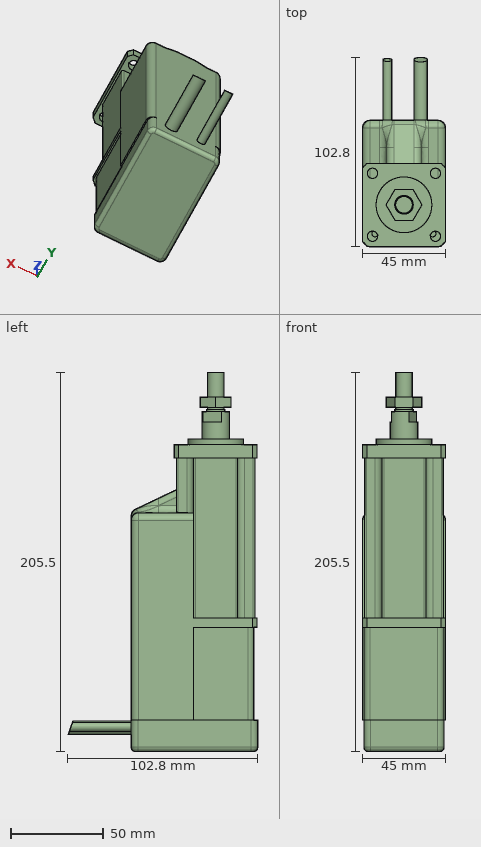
import cadquery as cq
import math


BASE_TOP = 17.0
PLATE_BOTTOM = 67.5
PLATE_TOP = 72.5
SHOULDER_TOP = 129.5
FLANGE_BOTTOM = 159.0
FLANGE_TOP = 166.5
PILOT_TOP = 169.5
ROD_SHOULDER = 184.3
COLLAR_TOP = 185.4
NUT_BOTTOM = 186.5
NUT_THICKNESS = 5.5
STUD_TOP = 205.5

FLANGE_SIDE = 45.0
HALF_SIDE = FLANGE_SIDE / 2
FLANGE_CHAMFER = 2.5
BASE_FRONT_Y = -22.8
REAR_FACE_Y = 45.8
REAR_BLOCK_FRONT_Y = 12.1
REAR_BLOCK_RADIUS = 4.1
BASE_WIDTH = 43.5
LOWER_BODY_WIDTH = 43.2
LOWER_BODY_FRONT_Y = -20.8
LOWER_BODY_RADIUS = 3.3
BASE_CORNER_RADIUS = 3.7
BASE_BOTTOM_RADIUS = 2.5

COLUMN_SIDE = 42.7
GROOVE_WALL = 12.0
GROOVE_RADIUS = 3.7
GROOVE_LIP_RADIUS = 1.0

RIDGE_FRONT_Y = 15.2
RIDGE_REAR_HEIGHT = 0.8
RIDGE_SLOPE = 25.5
RIDGE_FLAT_HALF_WIDTH = 5.3
RIDGE_TOP_RADIUS = 4.1
RIDGE_FOOT_RADIUS = 4.0
RIDGE_JOINT_OFFSET = 0.2
RIDGE_REAR_STEPS = 3
RIDGE_GRADE = math.tan(math.radians(RIDGE_SLOPE))
RIDGE_ROUNDS = RIDGE_TOP_RADIUS + RIDGE_FOOT_RADIUS
RIDGE_FOOT_X = RIDGE_FLAT_HALF_WIDTH + RIDGE_ROUNDS
RIDGE_MEETING_Y = REAR_FACE_Y - (RIDGE_ROUNDS - RIDGE_REAR_HEIGHT) / RIDGE_GRADE

PILOT_DIAMETER = 30.2
MOUNT_HOLE_DIAMETER = 5.5
MOUNT_HOLE_OFFSET = 17.0
PLATE_HOLE_DIAMETER = 3.5
ROD_DIAMETER = 15.0
COLLAR_DIAMETER = 10.0
STUD_DIAMETER = 9.0
NUT_BORE_DIAMETER = 10.0
NUT_ACROSS_FLATS = 16.9

FLAT_BOTTOM = 178.5
FLAT_SPACING = 10.3
FLAT_TURN = -22.0

CABLES = [(-9.0, 13.4, 5.0), (9.0, 13.0, 7.5)]
OVERALL_DEPTH = 102.8
CABLE_END_Y = BASE_FRONT_Y + OVERALL_DEPTH
CABLE_CUT_ANGLE = 19.0


def block(width, front_y, rear_y, bottom, top):
    """Box centred on x = 0."""
    return (
        cq.Workplane("XY", origin=(0, (front_y + rear_y) / 2, bottom))
        .rect(width, rear_y - front_y)
        .extrude(top - bottom)
    )


def make_base():
    base = block(BASE_WIDTH, BASE_FRONT_Y, REAR_FACE_Y, 0, BASE_TOP)
    return base.edges("|Z").fillet(BASE_CORNER_RADIUS).faces("<Z").edges().fillet(BASE_BOTTOM_RADIUS)


def make_lower_body():
    body = block(LOWER_BODY_WIDTH, LOWER_BODY_FRONT_Y, REAR_BLOCK_FRONT_Y, BASE_TOP, PLATE_BOTTOM)
    return body.edges("|Z and <Y").fillet(LOWER_BODY_RADIUS)


def make_plate():
    """Plate under the column, with a small hole below each front groove."""
    groove_center = GROOVE_WALL + GROOVE_RADIUS
    plate = block(FLANGE_SIDE, -HALF_SIDE, REAR_BLOCK_FRONT_Y, PLATE_BOTTOM, PLATE_TOP)
    plate = plate.edges("|Z and <Y").chamfer(FLANGE_CHAMFER)
    return (
        plate.faces(">Z")
        .workplane(origin=(0, 0, PLATE_TOP))
        .pushPoints([(-groove_center, -groove_center), (groove_center, -groove_center)])
        .hole(PLATE_HOLE_DIAMETER, PLATE_TOP - PLATE_BOTTOM)
    )


def make_column():
    """Square column with a rounded groove cut along each corner."""
    height = FLANGE_BOTTOM - PLATE_TOP
    column = cq.Workplane("XY", origin=(0, 0, PLATE_TOP)).rect(COLUMN_SIDE, COLUMN_SIDE).extrude(height)
    groove_side = COLUMN_SIDE / 2 - GROOVE_WALL
    groove_middle = GROOVE_WALL + groove_side / 2
    for x_sign, y_sign in [(-1, -1), (-1, 1), (1, -1), (1, 1)]:
        groove = (
            cq.Workplane("XY", origin=(x_sign * groove_middle, y_sign * groove_middle, PLATE_TOP))
            .rect(groove_side, groove_side)
            .extrude(height)
        )
        inner_edge = cq.selectors.NearestToPointSelector((0, 0, PLATE_TOP + height / 2))
        column = column.cut(groove.edges("|Z").edges(inner_edge).fillet(GROOVE_RADIUS))
    lips = column.faces("<X or >X or <Y or >Y").edges("|Z")
    return lips.fillet(GROOVE_LIP_RADIUS)


def make_flange():
    """Square mounting flange with four holes and the round pilot on top."""
    flange = block(FLANGE_SIDE, -HALF_SIDE, HALF_SIDE, FLANGE_BOTTOM, FLANGE_TOP)
    flange = flange.edges("|Z").chamfer(FLANGE_CHAMFER)
    flange = (
        flange.faces(">Z")
        .workplane()
        .rect(2 * MOUNT_HOLE_OFFSET, 2 * MOUNT_HOLE_OFFSET, forConstruction=True)
        .vertices()
        .hole(MOUNT_HOLE_DIAMETER)
    )
    pilot = (
        cq.Workplane("XY", origin=(0, 0, FLANGE_TOP))
        .circle(PILOT_DIAMETER / 2)
        .extrude(PILOT_TOP - FLANGE_TOP)
    )
    return flange.union(pilot)


def ridge_top(y):
    """Height of the ridge crest at one y."""
    return SHOULDER_TOP + RIDGE_REAR_HEIGHT + (REAR_FACE_Y - y) * RIDGE_GRADE


def ridge_section(y):
    """Closed ridge outline at one y: a top round and a foot round joined by their common tangent."""
    top = ridge_top(y)
    crest_center = (RIDGE_FLAT_HALF_WIDTH, top - RIDGE_TOP_RADIUS)
    foot_center = (RIDGE_FOOT_X, SHOULDER_TOP + RIDGE_FOOT_RADIUS)
    run = foot_center[0] - crest_center[0]
    drop = max(foot_center[1] - crest_center[1], 0)
    normal = math.atan2(drop, run) + math.acos(run / math.hypot(run, drop))

    def on_crest(angle):
        return (
            crest_center[0] + RIDGE_TOP_RADIUS * math.cos(angle),
            crest_center[1] + RIDGE_TOP_RADIUS * math.sin(angle),
        )

    def on_foot(angle):
        return (
            foot_center[0] - RIDGE_FOOT_RADIUS * math.cos(angle),
            foot_center[1] - RIDGE_FOOT_RADIUS * math.sin(angle),
        )

    def mirrored(point):
        return (-point[0], point[1])

    upright = math.pi / 2
    halfway = (normal + upright) / 2
    root = SHOULDER_TOP - REAR_BLOCK_RADIUS
    return (
        cq.Workplane("XZ", origin=(0, y, 0))
        .moveTo(RIDGE_FOOT_X, root)
        .lineTo(*on_foot(upright))
        .threePointArc(on_foot(halfway), on_foot(normal))
        .lineTo(*on_crest(normal))
        .threePointArc(on_crest(halfway), on_crest(upright))
        .lineTo(*mirrored(on_crest(upright)))
        .threePointArc(mirrored(on_crest(halfway)), mirrored(on_crest(normal)))
        .lineTo(*mirrored(on_foot(normal)))
        .threePointArc(mirrored(on_foot(halfway)), mirrored(on_foot(upright)))
        .lineTo(-RIDGE_FOOT_X, root)
        .close()
        .wires()
        .val()
    )


def make_ridge():
    """Straight front stretch with a full wall, then a rear one that leans back as it sinks."""
    joint_y = RIDGE_MEETING_Y + RIDGE_JOINT_OFFSET
    step = (REAR_FACE_Y - joint_y) / RIDGE_REAR_STEPS
    rear_stations = [joint_y + i * step for i in range(RIDGE_REAR_STEPS + 1)]
    front = cq.Solid.makeLoft([ridge_section(RIDGE_FRONT_Y), ridge_section(joint_y)], True)
    rear = cq.Solid.makeLoft([ridge_section(y) for y in rear_stations])
    return cq.Workplane(front).union(cq.Workplane(rear))


def make_rear_block():
    """Tall rear part of the housing, with the ridge on its shoulder and rounded outer edges."""
    rear = block(FLANGE_SIDE, REAR_BLOCK_FRONT_Y, REAR_FACE_Y, BASE_TOP, SHOULDER_TOP)
    rear = rear.edges("|Z and >Y").fillet(REAR_BLOCK_RADIUS)
    rear = rear.union(make_ridge())
    margin = 0.2
    shoulder_rear = cq.selectors.BoxSelector(
        (-FLANGE_SIDE, REAR_FACE_Y - margin, SHOULDER_TOP - margin),
        (FLANGE_SIDE, REAR_FACE_Y + margin, ridge_top(REAR_FACE_Y) + margin),
    )
    sides = rear.faces("<X or >X").edges("|Y").edges(">Z")
    rounded_edges = rear.edges(shoulder_rear).add(sides)
    return rounded_edges.fillet(REAR_BLOCK_RADIUS)


def make_cable(x, z, diameter):
    """Cable leaving the base through its rear face, cut off at a slant."""
    start_y = REAR_FACE_Y - BASE_CORNER_RADIUS
    cable = (
        cq.Workplane("XZ", origin=(x, start_y, z))
        .circle(diameter / 2)
        .extrude(start_y - CABLE_END_Y)
    )
    cutter_size = 4 * diameter
    lowest = min(height - size / 2 for _, height, size in CABLES)
    cutter = (
        cq.Workplane("XY")
        .box(cutter_size, cutter_size, cutter_size, centered=(True, False, True))
        .rotate((0, 0, 0), (1, 0, 0), CABLE_CUT_ANGLE)
        .translate((x, CABLE_END_Y, lowest))
    )
    return cable.cut(cutter)


def make_housing():
    housing = make_base()
    for part in [make_lower_body(), make_plate(), make_column(), make_flange(), make_rear_block()]:
        housing = housing.union(part)
    for x, z, diameter in CABLES:
        housing = housing.union(make_cable(x, z, diameter))
    return housing


def make_rod():
    """Rod with wrench flats, a short collar and the stud that carries the nut."""
    rod = (
        cq.Workplane("XY", origin=(0, 0, PILOT_TOP))
        .circle(ROD_DIAMETER / 2)
        .extrude(ROD_SHOULDER - PILOT_TOP)
    )
    between_flats = (
        cq.Workplane("XY", origin=(0, 0, FLAT_BOTTOM))
        .rect(FLAT_SPACING, 2 * ROD_DIAMETER)
        .extrude(ROD_SHOULDER - FLAT_BOTTOM)
        .rotate((0, 0, 0), (0, 0, 1), FLAT_TURN)
    )
    outside_flats = (
        cq.Workplane("XY", origin=(0, 0, FLAT_BOTTOM))
        .circle(ROD_DIAMETER)
        .extrude(ROD_SHOULDER - FLAT_BOTTOM)
        .cut(between_flats)
    )
    return (
        rod.cut(outside_flats)
        .faces(">Z")
        .workplane(origin=(0, 0, ROD_SHOULDER))
        .circle(COLLAR_DIAMETER / 2)
        .extrude(COLLAR_TOP - ROD_SHOULDER)
        .faces(">Z")
        .workplane()
        .circle(STUD_DIAMETER / 2)
        .extrude(STUD_TOP - COLLAR_TOP)
    )


def make_nut():
    across_corners = NUT_ACROSS_FLATS / math.cos(math.pi / 6)
    return (
        cq.Workplane("XY", origin=(0, 0, NUT_BOTTOM))
        .polygon(6, across_corners)
        .circle(NUT_BORE_DIAMETER / 2)
        .extrude(NUT_THICKNESS)
    )


housing = make_housing()
rod = make_rod()
nut = make_nut()
result = cq.Compound.makeCompound([housing.val(), rod.val(), nut.val()])